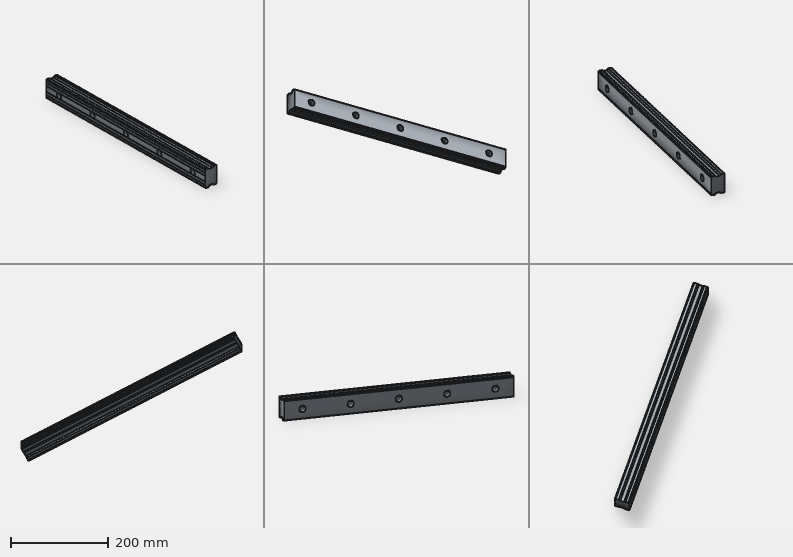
import cadquery as cq

length = 500.0
width = 32.0
height = 45.0

front_chamfer = 2.0
back_chamfer_y = 3.0
back_chamfer_z = 2.0

groove_floor_width = 8.0
groove_mouth_width = 15.0
groove_depth = 3.0

relief_steps = [(28.5, 0.25), (14.0, 0.5)]

hole_diameter = 14.0
hole_count = 5
hole_pitch = 105.0

half_width = width / 2
half_height = height / 2


def make_body():
    """Extrude the YZ section, whose upper and lower halves mirror each other."""
    groove_floor_z = half_height - groove_depth
    upper_half = [
        (-half_width, half_height - front_chamfer),
        (-half_width + front_chamfer, half_height),
        (-groove_mouth_width / 2, half_height),
        (-groove_floor_width / 2, groove_floor_z),
        (groove_floor_width / 2, groove_floor_z),
        (groove_mouth_width / 2, half_height),
        (half_width - back_chamfer_y, half_height),
        (half_width, half_height - back_chamfer_z),
    ]
    lower_half = [(y, -z) for y, z in reversed(upper_half)]
    section = cq.Workplane("YZ").polyline(upper_half + lower_half).close()
    return section.extrude(length / 2, both=True)


def make_relief(step_width, depth):
    """Full-length slab that lowers a centred band of the front face."""
    slab = cq.Workplane("XY").box(length, depth, step_width)
    return slab.translate((0, -half_width + depth / 2, 0))


def make_holes():
    """Evenly spaced cylinders running through the body along Y."""
    holes = cq.Workplane("XZ").rarray(hole_pitch, 5, hole_count, 1).circle(hole_diameter / 2)
    return holes.extrude(width, both=True)


result = make_body()
for step_width, depth in relief_steps:
    result = result.cut(make_relief(step_width, depth))
result = result.cut(make_holes())